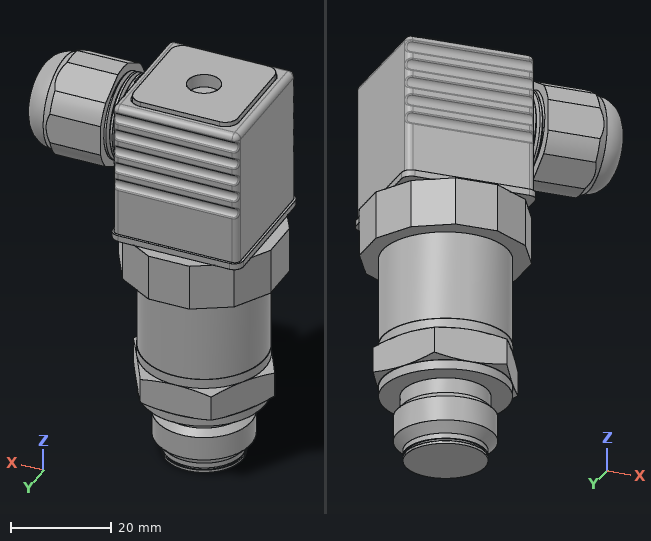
import cadquery as cq
import math

TIP_FLANGE_TOP = 0.6
TIP_TOP = 1.1
PILOT_TOP = 2.25
BAND_BOTTOM = 4.2
BAND_TOP = 9.5
NECK_BOTTOM = 10.9
WASHER_BOTTOM = 14.1
HEX_BOTTOM = 16.05
HEX_TOP = 23.0
SLEEVE_BOTTOM = 25.1
CAP_BOTTOM = 44.0
CAP_TOP = 54.1
GASKET_TOP = 55.5
HOUSING_TOP = 85.4
OVERALL_HEIGHT = 86.3

TIP_DIAMETER = 17.0
TIP_GROOVE_DIAMETER = 16.4
BAND_DIAMETER = 20.9
NECK_DIAMETER = 18.1
SLEEVE_DIAMETER = 26.75
SHOULDER_DIAMETER = 26.9
HEX_SIDES = 6
HEX_FLATS = SHOULDER_DIAMETER
HEX_CORNER_DROP = 0.8

CAP_FLATS = 33.4
CAP_SIDES = 12

HOUSING_WIDTH = 27.6
HOUSING_RADIUS = 1.3
GASKET_WIDTH = 28.65
GASKET_RADIUS = 2.1

GRIP_COUNT = 5
GRIP_PITCH = 3.9
GRIP_TOP_CENTRE = 82.7
GRIP_DIAMETER = 2.5
GRIP_DEPTH = 0.8
GRIP_EDGE_RADIUS = 0.35

COVER_WIDTH = 22.9
COVER_RADIUS = 2.8
COVER_GAP = 0.3
COVER_THICKNESS = 2.9
COVER_HOLE_DIAMETER = 7.0

OVERALL_LENGTH = 52.5
GLAND_HEIGHT = 74.2
STUB_DIAMETER = 18.3
THREAD_PITCH = 1.4
THREAD_DEPTH = 0.8
THREAD_START = 0.6
THREAD_START_ANGLE = 174
THREAD_OVERCUT = 0.2
THREAD_HALF_ANGLE = 30
GLAND_START = 17.8
GLAND_CHAMFER_START = 28.9
DOME_START = 30.6
GLAND_END = OVERALL_LENGTH - CAP_FLATS / 2
GLAND_FLATS = 21.2
GLAND_DIAMETER = 22.3
DOME_DIAMETER = 20.1
DOME_ROUND = GLAND_END - DOME_START


def disc(diameter, bottom, top):
    """Upright cylinder on the main axis."""
    return cq.Workplane().workplane(offset=bottom).circle(diameter / 2).extrude(top - bottom)


def square_block(width, corner_radius, bottom, top):
    """Upright square block with rounded vertical edges."""
    block = cq.Workplane().workplane(offset=bottom).rect(width, width).extrude(top - bottom)
    return block.edges("|Z").fillet(corner_radius)


def polygon_prism(sides, flats, bottom, top):
    """Upright regular prism with a corner on the +X axis."""
    corner_diameter = flats / math.cos(math.pi / sides)
    prism = cq.Workplane().workplane(offset=bottom).polygon(sides, corner_diameter)
    return prism.extrude(top - bottom)


def to_gland(body):
    """Turn a body built upright at the origin so that its +Z runs along the gland, its +X down."""
    turned = body.rotate((0, 0, 0), (0, 1, 0), 90)
    return turned.translate((0, 0, GLAND_HEIGHT))


def make_tip():
    """Sealing tip: a flange below a narrower groove."""
    flange = disc(TIP_DIAMETER, 0, TIP_FLANGE_TOP)
    return flange.union(disc(TIP_GROOVE_DIAMETER, TIP_FLANGE_TOP, TIP_TOP))


def make_hex():
    """Hexagon whose corners are trimmed by a cone at both ends."""
    flat_radius = HEX_FLATS / 2
    corner_radius = flat_radius / math.cos(math.pi / HEX_SIDES)
    envelope = (
        cq.Workplane("XZ")
        .moveTo(0, HEX_BOTTOM)
        .lineTo(flat_radius, HEX_BOTTOM)
        .lineTo(corner_radius, HEX_BOTTOM + HEX_CORNER_DROP)
        .lineTo(corner_radius, HEX_TOP - HEX_CORNER_DROP)
        .lineTo(flat_radius, HEX_TOP)
        .lineTo(0, HEX_TOP)
        .close()
        .revolve(360, (0, 0), (0, 1))
    )
    return polygon_prism(HEX_SIDES, HEX_FLATS, HEX_BOTTOM, HEX_TOP).intersect(envelope)


def make_fitting():
    """Process fitting: pilot, bevelled band, neck, hexagon and round shoulders."""
    turned = (
        cq.Workplane("XZ")
        .moveTo(0, TIP_TOP)
        .lineTo(TIP_DIAMETER / 2, TIP_TOP)
        .lineTo(TIP_DIAMETER / 2, PILOT_TOP)
        .lineTo(BAND_DIAMETER / 2, BAND_BOTTOM)
        .lineTo(BAND_DIAMETER / 2, BAND_TOP)
        .lineTo(NECK_DIAMETER / 2, NECK_BOTTOM)
        .lineTo(NECK_DIAMETER / 2, WASHER_BOTTOM)
        .lineTo(SLEEVE_DIAMETER / 2, WASHER_BOTTOM)
        .lineTo(SLEEVE_DIAMETER / 2, HEX_BOTTOM)
        .lineTo(SHOULDER_DIAMETER / 2, HEX_BOTTOM)
        .lineTo(SHOULDER_DIAMETER / 2, SLEEVE_BOTTOM)
        .lineTo(0, SLEEVE_BOTTOM)
        .close()
        .revolve(360, (0, 0), (0, 1))
    )
    return turned.union(make_hex())


def make_cap():
    """Twelve-sided cap with flats facing along X and Y."""
    prism = polygon_prism(CAP_SIDES, CAP_FLATS, CAP_BOTTOM, CAP_TOP)
    return prism.rotate((0, 0, 0), (0, 0, 1), 180 / CAP_SIDES)


def cut_grips(block):
    """Cut the grip grooves into the -Y and +Y sides and round their rims."""
    axis_y = HOUSING_WIDTH / 2 - GRIP_DEPTH + GRIP_DIAMETER / 2
    centres = [
        (side * axis_y, GRIP_TOP_CENTRE - row * GRIP_PITCH)
        for side in (-1, 1)
        for row in range(GRIP_COUNT)
    ]
    cutters = (
        cq.Workplane("YZ")
        .pushPoints(centres)
        .circle(GRIP_DIAMETER / 2)
        .extrude(HOUSING_WIDTH / 2, both=True)
    )
    grooved = block.cut(cutters)
    groove_faces = [
        face
        for face in grooved.faces("%CYLINDER").vals()
        if face.BoundingBox().xlen > HOUSING_WIDTH / 2
    ]
    rims = [edge for face in groove_faces for edge in face.Edges()]
    return grooved.newObject(rims).fillet(GRIP_EDGE_RADIUS)


def make_stub():
    """Threaded gland stub with a right-hand V groove that starts clear of the housing."""
    stub_bottom = HOUSING_WIDTH / 2
    stub_length = GLAND_START - stub_bottom
    root_radius = STUB_DIAMETER / 2 - THREAD_DEPTH
    rim_radius = STUB_DIAMETER / 2 + THREAD_OVERCUT
    half_width = (rim_radius - root_radius) * math.tan(math.radians(THREAD_HALF_ANGLE))
    helix = cq.Wire.makeHelix(THREAD_PITCH, stub_length, root_radius)
    groove = (
        cq.Workplane("XZ")
        .moveTo(root_radius, 0)
        .lineTo(rim_radius, half_width)
        .lineTo(rim_radius, -half_width)
        .close()
        .sweep(cq.Workplane(helix), isFrenet=True)
        .rotate((0, 0, 0), (0, 0, 1), THREAD_START_ANGLE)
        .translate((0, 0, stub_bottom + THREAD_START))
    )
    return to_gland(disc(STUB_DIAMETER, stub_bottom, GLAND_START).cut(groove))


def make_housing():
    """Connector housing with grip grooves, a pocket for the cover and the gland stub."""
    block = square_block(HOUSING_WIDTH, HOUSING_RADIUS, GASKET_TOP, HOUSING_TOP)
    block = cut_grips(block).faces(">Z").edges().fillet(HOUSING_RADIUS)
    pocket = square_block(
        COVER_WIDTH + 2 * COVER_GAP,
        COVER_RADIUS + COVER_GAP,
        OVERALL_HEIGHT - COVER_THICKNESS,
        OVERALL_HEIGHT,
    )
    return block.cut(pocket).union(make_stub())


def make_cover():
    """Square cover plate with a hole through its middle."""
    cover_bottom = OVERALL_HEIGHT - COVER_THICKNESS
    plate = square_block(COVER_WIDTH, COVER_RADIUS, cover_bottom, OVERALL_HEIGHT)
    return plate.cut(disc(COVER_HOLE_DIAMETER, cover_bottom, OVERALL_HEIGHT))


def make_gland_nut():
    """Domed cap nut: a turned body with six flats cut along its outside."""
    outer_radius = GLAND_DIAMETER / 2
    dome_radius = DOME_DIAMETER / 2
    turned = (
        cq.Workplane("XZ")
        .moveTo(0, GLAND_START)
        .lineTo(outer_radius, GLAND_START)
        .lineTo(outer_radius, GLAND_CHAMFER_START)
        .lineTo(dome_radius, DOME_START)
        .radiusArc((dome_radius - DOME_ROUND, GLAND_END), -DOME_ROUND)
        .lineTo(0, GLAND_END)
        .close()
        .revolve(360, (0, 0), (0, 1))
    )
    return to_gland(turned.intersect(polygon_prism(HEX_SIDES, GLAND_FLATS, GLAND_START, GLAND_END)))


tip = make_tip()
fitting = make_fitting()
sleeve = disc(SLEEVE_DIAMETER, SLEEVE_BOTTOM, CAP_BOTTOM)
cap = make_cap()
gasket = square_block(GASKET_WIDTH, GASKET_RADIUS, CAP_TOP, GASKET_TOP)
housing = make_housing()
cover = make_cover()
gland_nut = make_gland_nut()

result = cq.Compound.makeCompound(
    [body.val() for body in (tip, fitting, sleeve, cap, gasket, housing, cover, gland_nut)]
)